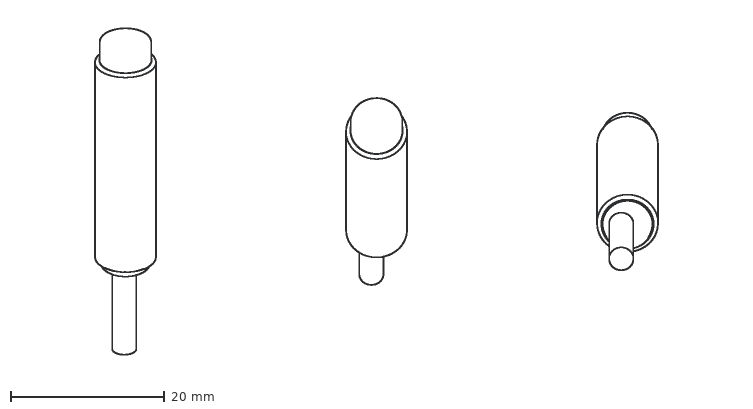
import cadquery as cq
import math


TOTAL_HEIGHT = 47.0
CAP_HEIGHT = 3.0
HOUSING_LENGTH = 30.0
PLUG_HEIGHT = 1.0
CABLE_LENGTH = TOTAL_HEIGHT - CAP_HEIGHT - HOUSING_LENGTH - PLUG_HEIGHT

HOUSING_DIAMETER = 8.0
CAP_DIAMETER = 6.75
PLUG_DIAMETER = 6.5
CABLE_DIAMETER = 3.2

CAP_EDGE_RADIUS = 0.35
PLUG_EDGE_RADIUS = 0.5
CHAMFER_WIDTH = 0.55
CHAMFER_ANGLE = math.radians(30)

CABLE_OFFSET = 0.9
CABLE_DIRECTION = math.radians(150)

PLUG_BOTTOM = CABLE_LENGTH
HOUSING_BOTTOM = PLUG_BOTTOM + PLUG_HEIGHT
CAP_BOTTOM = HOUSING_BOTTOM + HOUSING_LENGTH

CHAMFER_HEIGHT = CHAMFER_WIDTH * math.tan(CHAMFER_ANGLE)


def upright_cylinder(diameter, height, bottom, center=(0, 0)):
    """Cylinder along Z whose lower face lies at the level `bottom`."""
    return cq.Workplane("XY", origin=(*center, bottom)).circle(diameter / 2).extrude(height)


def make_housing():
    """Barrel revolved from its half section, with a shallow cone at each end."""
    outer_radius = HOUSING_DIAMETER / 2
    end_radius = outer_radius - CHAMFER_WIDTH
    half_section = (
        cq.Workplane("XZ")
        .moveTo(0, HOUSING_BOTTOM)
        .lineTo(end_radius, HOUSING_BOTTOM)
        .lineTo(outer_radius, HOUSING_BOTTOM + CHAMFER_HEIGHT)
        .lineTo(outer_radius, CAP_BOTTOM - CHAMFER_HEIGHT)
        .lineTo(end_radius, CAP_BOTTOM)
        .lineTo(0, CAP_BOTTOM)
        .close()
    )
    return half_section.revolve(360, (0, 0, 0), (0, 1, 0))


def make_cap():
    """Sensing cap resting on the housing, rounded around its top face."""
    blank = upright_cylinder(CAP_DIAMETER, CAP_HEIGHT, CAP_BOTTOM)
    return blank.faces(">Z").edges().fillet(CAP_EDGE_RADIUS)


def make_plug():
    """End plug below the housing, rounded around its lower face."""
    blank = upright_cylinder(PLUG_DIAMETER, PLUG_HEIGHT, PLUG_BOTTOM)
    return blank.faces("<Z").edges().fillet(PLUG_EDGE_RADIUS)


def make_cable():
    """Straight cable stub running from the plug down to the base plane."""
    center = (CABLE_OFFSET * math.cos(CABLE_DIRECTION), CABLE_OFFSET * math.sin(CABLE_DIRECTION))
    return upright_cylinder(CABLE_DIAMETER, CABLE_LENGTH, 0, center)


housing = make_housing()
cap = make_cap()
plug = make_plug()
cable = make_cable()

result = cq.Compound.makeCompound([housing.val(), cap.val(), plug.val(), cable.val()])